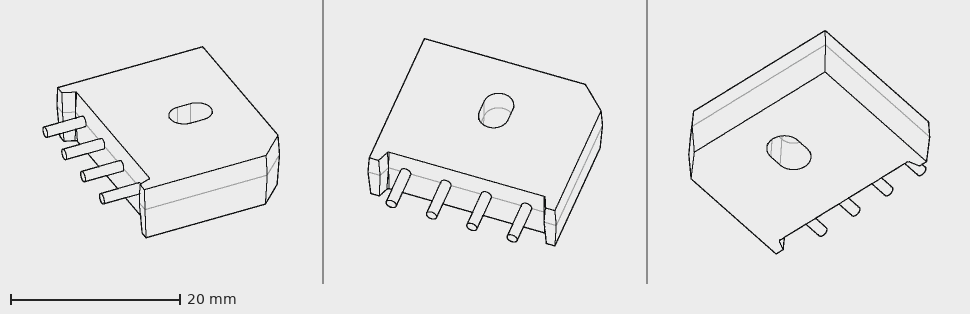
import cadquery as cq
import math

body_width = 23.7
overall_length = 22.9
upper_height = 2.77
lower_height = 4.34
draft_angle = 3.5

pin_overhang = 3.6
foot_y = pin_overhang - overall_length
recess_depth = 1.42
foot_tip_width = 1.55
foot_root_width = 2.09
corner_cut = 3.2

slot_width = 3.6
slot_length = 5.3
slot_center_y = -7.5

pin_count = 4
pin_diameter = 1.3
pin_pitch = 5.07
pin_embedment = 1.18


def body_outline(foot_extension=0.0):
    """Body outline at the parting plane, with the feet optionally lengthened along their slant."""
    half_width = body_width / 2
    tip_y = foot_y - foot_extension
    recess_y = foot_y + recess_depth
    slant = (foot_root_width - foot_tip_width) / recess_depth
    tip_x = half_width - foot_tip_width + foot_extension * slant
    root_x = half_width - foot_root_width
    points = [
        (-half_width, 0),
        (half_width - corner_cut, 0),
        (half_width, -corner_cut),
        (half_width, tip_y),
        (tip_x, tip_y),
        (root_x, recess_y),
        (-root_x, recess_y),
        (-tip_x, tip_y),
        (-half_width, tip_y),
    ]
    return cq.Workplane("XY").polyline(points).close()


def make_lower_half():
    """Lower half, drafted inward on every wall toward the bottom."""
    return body_outline().extrude(-lower_height, taper=draft_angle)


def make_upper_half():
    """Upper half, drafted on every wall except the upright tips of the feet."""
    draft_inset = upper_height * math.tan(math.radians(draft_angle))
    foot_extension = 2 * draft_inset
    drafted = body_outline(foot_extension).extrude(upper_height, taper=draft_angle)
    beyond_feet = (
        cq.Workplane("XY")
        .box(body_width, foot_extension, upper_height, centered=(True, False, False))
        .translate((0, foot_y - foot_extension, 0))
    )
    return drafted.cut(beyond_feet)


def slot_outline():
    """Round-ended slot outline at the parting plane, long along Y."""
    return cq.Workplane("XY", origin=(0, slot_center_y, 0)).slot2D(slot_length, slot_width, 90)


def make_slot():
    """Through slot, straight in the upper half and flaring toward the bottom in the lower half."""
    upper_slot = slot_outline().extrude(upper_height)
    lower_slot = slot_outline().extrude(-lower_height, taper=-draft_angle)
    return upper_slot.union(lower_slot)


def make_pins():
    """Row of round leads on the parting plane, rooted inside the body."""
    pin_start_y = foot_y + recess_depth + pin_embedment
    return (
        cq.Workplane("XZ", origin=(0, pin_start_y, 0))
        .rarray(pin_pitch, 0.24, pin_count, 1)
        .circle(pin_diameter / 2)
        .extrude(pin_start_y + overall_length)
    )


result = make_lower_half().union(make_upper_half()).cut(make_slot()).union(make_pins())